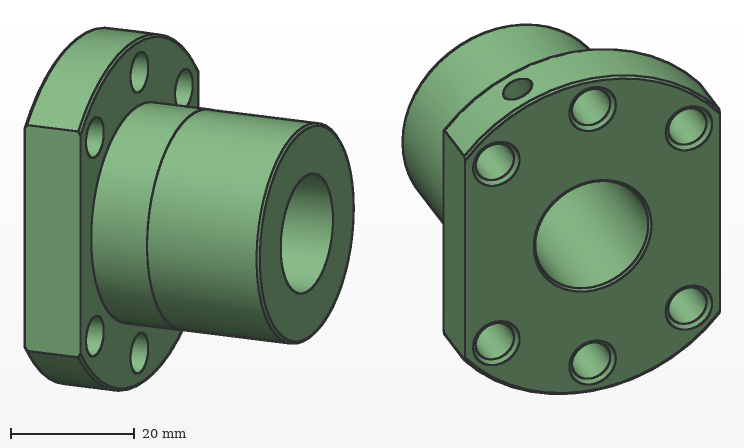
import cadquery as cq
import math

flange_diameter = 58.0
flange_width = 44.0
flange_thickness = 10.0
flange_chamfer = 0.4

total_length = 40.0
neck_diameter = 36.0
neck_length = 10.0
front_diameter = 35.9
front_chamfer = 0.4

bore_diameter = 19.5
bore_chamfer = 0.4

bolt_circle_diameter = 47.0
bolt_hole_diameter = 6.6
bolt_hole_chamfer = 0.7
bolt_hole_angles = (45, 90, 135, 225, 270, 315)

lube_hole_diameter = 5.0
lube_hole_depth = 11.0
lube_hole_tilt = 22.5
drill_point_angle = 118.0


def cylinder_along_x(diameter, start, length):
    return cq.Workplane("YZ", origin=(start, 0, 0)).circle(diameter / 2).extrude(length)


def make_flange():
    disc = cylinder_along_x(flange_diameter, 0, flange_thickness)
    disc = disc.edges("%CIRCLE").chamfer(flange_chamfer)
    flats = cq.Workplane("XY").box(2 * flange_thickness, flange_width, flange_diameter)
    return disc.intersect(flats)


def make_body():
    neck = cylinder_along_x(neck_diameter, flange_thickness, neck_length)
    front_start = flange_thickness + neck_length
    front = cylinder_along_x(front_diameter, front_start, total_length - front_start)
    return neck.union(front.faces(">X").chamfer(front_chamfer))


def chamfered_cutter(diameter, length, chamfer):
    """Hole along X from X = 0, with a 45 degree chamfer at that end."""
    radius = diameter / 2
    profile = [
        (0, 0),
        (0, radius + chamfer),
        (chamfer, radius),
        (length, radius),
        (length, 0),
    ]
    return cq.Workplane("XY").polyline(profile).close().revolve(360, (0, 0, 0), (1, 0, 0))


def make_bolt_holes():
    hole = chamfered_cutter(bolt_hole_diameter, flange_thickness, bolt_hole_chamfer)
    hole = hole.translate((0, bolt_circle_diameter / 2, 0))
    holes = cq.Workplane("XY")
    for angle in bolt_hole_angles:
        holes = holes.add(hole.rotate((0, 0, 0), (1, 0, 0), angle))
    return holes.combine()


def make_lube_hole():
    """Drill shape pointing at the X axis, drawn in the XZ plane around its own axis."""
    radius = lube_hole_diameter / 2
    rim = flange_diameter / 2
    shoulder = rim - lube_hole_depth
    tip = shoulder - radius / math.tan(math.radians(drill_point_angle / 2))
    top = rim + lube_hole_diameter
    profile = [(0, tip), (radius, shoulder), (radius, top), (0, top)]
    drill = cq.Workplane("XZ").polyline(profile).close().revolve(360, (0, 0, 0), (0, 1, 0))
    drill = drill.translate((flange_thickness / 2, 0, 0))
    return drill.rotate((0, 0, 0), (1, 0, 0), -lube_hole_tilt)


result = make_flange().union(make_body())
result = result.cut(chamfered_cutter(bore_diameter, total_length, bore_chamfer))
result = result.cut(make_bolt_holes())
result = result.cut(make_lube_hole())